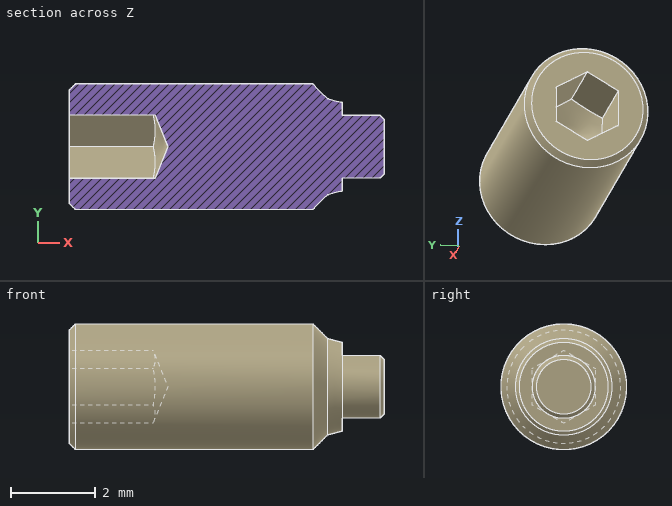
import cadquery as cq
import math

total_length = 7.5
body_radius = 1.5
socket_chamfer = 0.15

dog_length = 1.0
dog_radius = 0.75
dog_chamfer = 0.1

shoulder_length = 0.35
shoulder_base_radius = 1.15
shoulder_tip_radius = 1.058

socket_across_flats = 1.5
socket_depth = 2.0
socket_cone_angle = 136.0

shoulder_end_x = total_length - dog_length
shoulder_start_x = shoulder_end_x - shoulder_length
body_end_x = shoulder_start_x - (body_radius - shoulder_base_radius)


def make_screw_body():
    """Solid of revolution about the X axis."""
    half_profile = [
        (0, 0),
        (0, body_radius - socket_chamfer),
        (socket_chamfer, body_radius),
        (body_end_x, body_radius),
        (shoulder_start_x, shoulder_base_radius),
        (shoulder_end_x, shoulder_tip_radius),
        (shoulder_end_x, dog_radius),
        (total_length - dog_chamfer, dog_radius),
        (total_length, dog_radius - dog_chamfer),
        (total_length, 0),
    ]
    profile = cq.Workplane("XZ").polyline(half_profile).close()
    return profile.revolve(360, (0, 0, 0), (1, 0, 0))


def make_socket():
    """Hexagonal prism, corners on Z, ended by a cone through its corners."""
    corner_radius = socket_across_flats / math.sqrt(3)
    cone_height = corner_radius / math.tan(math.radians(socket_cone_angle / 2))
    socket_end_x = socket_depth + cone_height

    hexagon = (
        cq.Workplane("YZ")
        .polygon(6, 2 * corner_radius)
        .extrude(socket_end_x)
        .rotate((0, 0, 0), (1, 0, 0), 90)
    )
    pointed_cylinder = (
        cq.Workplane("XZ")
        .polyline([(0, 0), (0, corner_radius), (socket_depth, corner_radius), (socket_end_x, 0)])
        .close()
        .revolve(360, (0, 0, 0), (1, 0, 0))
    )
    return hexagon.intersect(pointed_cylinder)


result = make_screw_body().cut(make_socket())